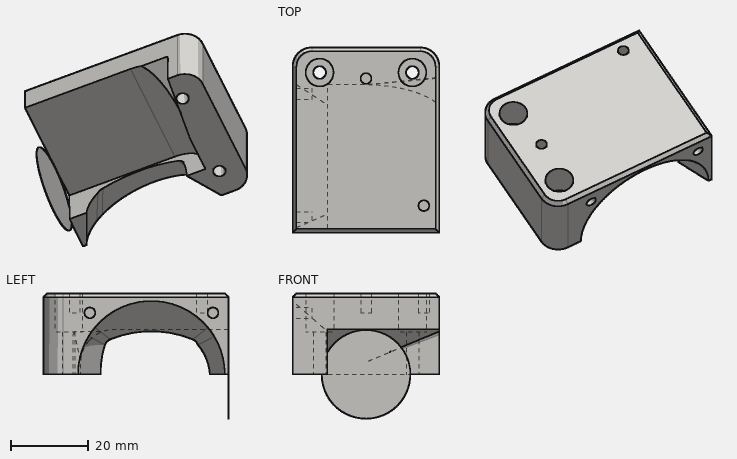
import cadquery as cq
import math

WIDTH = 38.0
LENGTH = 48.0
DISC_DIAMETER = 23.0
TOTAL_HEIGHT = 32.5
HEIGHT = TOTAL_HEIGHT - DISC_DIAMETER / 2
CORNER_RADIUS = 5.0
CHAMFER = 1.0
LEFT = -WIDTH / 2
RIGHT = WIDTH / 2
FRONT = -LENGTH / 2

DISC_THICKNESS = 0.15

MOUTH_RADIUS = 19.0
MOUTH_Y = -4.0
SEAM_ANGLE_LOW = 31.4
SEAM_ANGLE_HIGH = 39.8
THROAT_X = -10.0
THROAT_HEIGHT = 11.15
THROAT_REAR_Y = 9.1
THROAT_FRONT_Y = -19.1
SHOULDER_LOW = 7.7
SHOULDER_HIGH = 9.05
SHOULDER_LOW_HALF_WIDTH = 12.0
SHOULDER_HIGH_HALF_WIDTH = 10.6
SIDE_MID_HEIGHT = 4.55
REAR_SIDE_MID_Y = 8.8
FRONT_SIDE_MID_Y = -17.95

WINDOW_HEIGHT = 11.7
WINDOW_REAR_Y = 14.4
WINDOW_RADIUS = 8.65

FLARE_START_X = 0.0
FLARE_START_HEIGHT = 3.25
FLARE_END_Y = 16.3
FLARE_END_HEIGHT = 11.15
FLARE_START_BEVEL = 0.1
FLARE_END_BEVEL = 0.75
BEVEL_SETBACK_RATIO = 0.3

SCREW_X = 12.0
SCREW_Y = 17.45
SCREW_DIAMETER = 3.2
COUNTERBORE_DIAMETER = 7.2
COUNTERBORE_DEPTH = 10.0

PIN_DIAMETER = 2.8
PIN_DEPTH = 5.0
TOP_PINS = [(0.0, 15.95), (15.0, -17.0)]
SIDE_PIN_SPACING = 31.85
SIDE_PIN_Z = 15.95


def make_block():
    block = cq.Workplane("XY").box(WIDTH, LENGTH, HEIGHT, centered=(True, True, False))
    block = block.edges("|Z and >Y").fillet(CORNER_RADIUS)
    return block.faces(">Z").edges().chamfer(CHAMFER)


def make_disc():
    disc = cq.Workplane("XZ", origin=(0, FRONT, 0)).circle(DISC_DIAMETER / 2)
    return disc.extrude(-DISC_THICKNESS)


def arch_wire(x, points):
    """Close an arch at the given X from five chained arcs through eleven (Y, Z) points."""
    vertices = [cq.Vector(x, y, z) for y, z in points]
    edges = []
    for start in range(0, len(vertices) - 1, 2):
        edges.append(cq.Edge.makeThreePointArc(*vertices[start:start + 3]))
    edges.append(cq.Edge.makeLine(vertices[-1], vertices[0]))
    return cq.Wire.assembleEdges(edges)


def mouth_points():
    """Points on the mouth half circle: its seams and the middle of each arc between them."""
    seams = [0, SEAM_ANGLE_LOW, SEAM_ANGLE_HIGH]
    seams += [180 - angle for angle in reversed(seams)]
    angles = [seams[0]]
    for first, second in zip(seams, seams[1:]):
        angles += [(first + second) / 2, second]
    points = []
    for angle in angles:
        turn = math.radians(angle)
        points.append((MOUTH_Y + MOUTH_RADIUS * math.cos(turn), MOUTH_RADIUS * math.sin(turn)))
    return points


def throat_points():
    """Points on the throat, from its rear foot over the crown to its front foot."""
    corner_bulge = 0.15
    corner_half_width = (SHOULDER_LOW_HALF_WIDTH + SHOULDER_HIGH_HALF_WIDTH) / 2 + corner_bulge
    corner_height = (SHOULDER_LOW + SHOULDER_HIGH) / 2 + corner_bulge
    return [
        (THROAT_REAR_Y, 0),
        (REAR_SIDE_MID_Y, SIDE_MID_HEIGHT),
        (MOUTH_Y + SHOULDER_LOW_HALF_WIDTH, SHOULDER_LOW),
        (MOUTH_Y + corner_half_width, corner_height),
        (MOUTH_Y + SHOULDER_HIGH_HALF_WIDTH, SHOULDER_HIGH),
        (MOUTH_Y, THROAT_HEIGHT),
        (MOUTH_Y - SHOULDER_HIGH_HALF_WIDTH, SHOULDER_HIGH),
        (MOUTH_Y - corner_half_width, corner_height),
        (MOUTH_Y - SHOULDER_LOW_HALF_WIDTH, SHOULDER_LOW),
        (FRONT_SIDE_MID_Y, SIDE_MID_HEIGHT),
        (THROAT_FRONT_Y, 0),
    ]


def make_mouth():
    mouth = arch_wire(LEFT, mouth_points())
    throat = arch_wire(THROAT_X, throat_points())
    return cq.Workplane(cq.Solid.makeLoft([mouth, throat], True))


def make_window():
    window = cq.Workplane("XY", origin=(THROAT_X, FRONT, 0)).box(
        RIGHT - THROAT_X, WINDOW_REAR_Y - FRONT, WINDOW_HEIGHT, centered=False
    )
    return window.edges(">Y and >Z").fillet(WINDOW_RADIUS)


def flare_section(x, rear_y, height, bevel):
    """Rectangle behind the window at the given X, with its upper rear edge bevelled."""
    outline = [
        (MOUTH_Y, 0),
        (rear_y, 0),
        (rear_y, height - bevel),
        (rear_y - BEVEL_SETBACK_RATIO * bevel, height),
        (MOUTH_Y, height),
    ]
    return cq.Wire.makePolygon([cq.Vector(x, y, z) for y, z in outline], close=True)


def make_flare():
    start = flare_section(FLARE_START_X, WINDOW_REAR_Y, FLARE_START_HEIGHT, FLARE_START_BEVEL)
    end = flare_section(RIGHT, FLARE_END_Y, FLARE_END_HEIGHT, FLARE_END_BEVEL)
    return cq.Workplane(cq.Solid.makeLoft([start, end], True))


def make_screw_holes():
    centres = [(-SCREW_X, SCREW_Y), (SCREW_X, SCREW_Y)]
    top = cq.Workplane("XY", origin=(0, 0, HEIGHT)).pushPoints(centres)
    shanks = top.circle(SCREW_DIAMETER / 2).extrude(-HEIGHT)
    heads = top.circle(COUNTERBORE_DIAMETER / 2).extrude(-COUNTERBORE_DEPTH)
    return shanks.union(heads)


def make_pin_holes():
    top = cq.Workplane("XY", origin=(0, 0, HEIGHT)).pushPoints(TOP_PINS)
    top_pins = top.circle(PIN_DIAMETER / 2).extrude(-PIN_DEPTH)
    side = cq.Workplane("YZ", origin=(LEFT, MOUTH_Y, SIDE_PIN_Z))
    side = side.pushPoints([(-SIDE_PIN_SPACING / 2, 0), (SIDE_PIN_SPACING / 2, 0)])
    side_pins = side.circle(PIN_DIAMETER / 2).extrude(PIN_DEPTH)
    return top_pins.union(side_pins)


result = make_block()
for cutter in (make_mouth(), make_window(), make_flare(), make_screw_holes(), make_pin_holes()):
    result = result.cut(cutter)
result = result.union(make_disc()).clean()